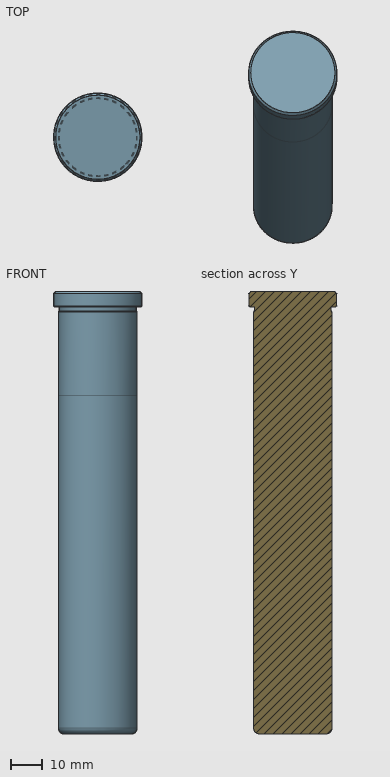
import cadquery as cq
import math

total_length = 140.0
head_diameter = 28.0
shank_diameter = 25.0

head_height = 5.0
head_upper_chamfer = 0.7
head_lower_chamfer = 0.4

undercut_depth = 0.3
undercut_height = 1.2
undercut_chamfer = 0.3

fitting_length = 28.0
tip_fillet = 2.0

head_radius = head_diameter / 2
shank_radius = shank_diameter / 2
undercut_radius = shank_radius - undercut_depth
head_underside = total_length - head_height
undercut_bottom = head_underside - undercut_height
shank_top = undercut_bottom - undercut_chamfer
zone_boundary = head_underside - fitting_length


def make_pin():
    """Revolve the half profile, drawn on the -X side, around the Z axis."""
    arc_offset = tip_fillet * (1 - math.sqrt(0.5))
    profile = (
        cq.Workplane("XZ")
        .moveTo(0, 0)
        .lineTo(-(shank_radius - tip_fillet), 0)
        .threePointArc((-(shank_radius - arc_offset), arc_offset), (-shank_radius, tip_fillet))
        .lineTo(-shank_radius, zone_boundary)
        .lineTo(-shank_radius, shank_top)
        .lineTo(-undercut_radius, undercut_bottom)
        .lineTo(-undercut_radius, head_underside)
        .lineTo(-(head_radius - head_lower_chamfer), head_underside)
        .lineTo(-head_radius, head_underside + head_lower_chamfer)
        .lineTo(-head_radius, total_length - head_upper_chamfer)
        .lineTo(-(head_radius - head_upper_chamfer), total_length)
        .lineTo(0, total_length)
        .close()
    )
    return profile.revolve(axisStart=(0, 0, 0), axisEnd=(0, 1, 0), clean=False)


result = make_pin()